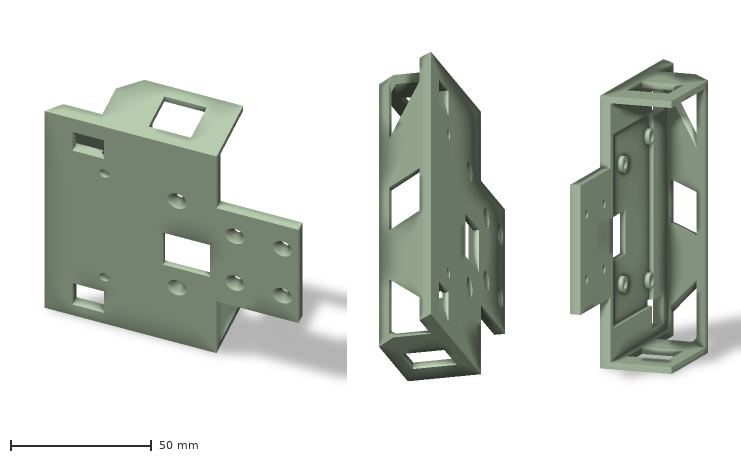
import cadquery as cq
import math

height = 99.0
total_length = 96.0
depth = 27.0
mid_z = height / 2

plate_thickness = 4.0
main_length = 65.0
plate_edge_x = 3.4
tab_height = 46.9

screw_diameter = 3.2
screw_head_diameter = 7.4
countersink_angle = 90
main_screw = (50.1, 21.8)
tab_screws = [(72.0, 11.8), (90.0, 11.8)]

pilot_diameter = 4.0
pilot_hole = (22.7, 26.1)

slot_left = 10.5
slot_right = 22.5
slot_inner_offset = 33.4
upper_slot_height = 9.3
lower_slot_height = 10.8
plate_window_left = 44.7
plate_window_length = 17.8
plate_window_bottom = 37.5

boss_diameter = 6.0
pocket_depth = 1.8
pocket_left = 20.8
pocket_height = 70.5

slope_top_x = 27.7
slope_wall = 2.1
end_wall = 2.5
window_size = 16.0
window_front = 5.6
end_window_left = 37.2
tunnel_tilt = 40
tunnel_end_x = 19.7

slope_angle = math.atan2(depth - plate_thickness, slope_top_x - plate_edge_x)
slope_wall_along_x = slope_wall / math.sin(slope_angle)
foot_step_x = slope_wall * math.sin(slope_angle)
foot_step_y = slope_wall * math.cos(slope_angle)
plate_window_right = plate_window_left + plate_window_length
window_back = window_front + window_size


def block(x_start, x_end, y_start, y_end, z_start, z_end):
    """Box given by its limits along the three axes."""
    size = (x_end - x_start, y_end - y_start, z_end - z_start)
    return cq.Workplane("XY").box(*size, centered=False).translate((x_start, y_start, z_start))


def prism(points, z_start, z_end):
    """Upright prism over an outline in X and Y."""
    return cq.Workplane("XY").workplane(offset=z_start).polyline(points).close().extrude(z_end - z_start)


def make_sloped_wall():
    """Sloped wall whose squared-off foot sinks into the plate."""
    outline = [
        (plate_edge_x, plate_thickness),
        (slope_top_x, depth),
        (slope_top_x + slope_wall_along_x, depth),
        (plate_edge_x + foot_step_x, plate_thickness - foot_step_y),
    ]
    return prism(outline, 0, height)


def make_front_face_plane():
    """Workplane on the front face with local X along X and local Y measured from mid height."""
    return cq.Workplane("XZ", origin=(0, 0, mid_z))


def mirrored_pairs(positions):
    """Points on the front face, one above and one below mid height for each position."""
    return [(x, side * offset) for x, offset in positions for side in (-1, 1)]


def make_plate():
    main_outline = [
        (0, 0),
        (main_length, 0),
        (main_length, plate_thickness),
        (plate_edge_x, plate_thickness),
    ]
    plate = prism(main_outline, 0, height)
    tab_bottom = mid_z - tab_height / 2
    tab = block(main_length, total_length, 0, plate_thickness, tab_bottom, tab_bottom + tab_height)
    plate = plate.union(tab)

    upper_slot_bottom = mid_z + slot_inner_offset
    lower_slot_top = mid_z - slot_inner_offset
    openings = [
        (slot_left, slot_right, upper_slot_bottom, upper_slot_bottom + upper_slot_height),
        (slot_left, slot_right, lower_slot_top - lower_slot_height, lower_slot_top),
        (
            plate_window_left,
            plate_window_right,
            plate_window_bottom,
            plate_window_bottom + window_size,
        ),
    ]
    for left, right, bottom, top in openings:
        plate = plate.cut(block(left, right, 0, plate_thickness, bottom, top))

    pocket_bottom = mid_z - pocket_height / 2
    pocket = block(
        pocket_left,
        plate_window_right,
        plate_thickness - pocket_depth,
        plate_thickness,
        pocket_bottom,
        pocket_bottom + pocket_height,
    )
    plate = plate.cut(pocket)

    boss_points = mirrored_pairs([pilot_hole, main_screw])
    bosses = make_front_face_plane().pushPoints(boss_points).circle(boss_diameter / 2)
    plate = plate.union(bosses.extrude(-plate_thickness))

    screw_points = mirrored_pairs([main_screw, *tab_screws])
    plate = plate.copyWorkplane(make_front_face_plane()).pushPoints(screw_points)
    plate = plate.cskHole(screw_diameter, screw_head_diameter, countersink_angle)
    plate = plate.copyWorkplane(make_front_face_plane()).pushPoints(mirrored_pairs([pilot_hole]))
    plate = plate.hole(pilot_diameter)

    return plate.cut(make_sloped_wall())


def make_tilted_tunnel():
    """Square tunnel through the sloped wall and the upper end wall, falling towards +X."""
    reach = height
    tunnel = block(-reach, reach, window_front, window_back, -window_size, 0)
    tunnel = tunnel.rotate((0, 0, 0), (0, 1, 0), tunnel_tilt)
    return tunnel.translate((tunnel_end_x, 0, height))


def make_housing():
    end_outline = [
        (plate_edge_x, plate_thickness),
        (main_length, plate_thickness),
        (main_length, depth),
        (slope_top_x, depth),
    ]
    housing = make_sloped_wall()
    for bottom in (0, height - end_wall):
        housing = housing.union(prism(end_outline, bottom, bottom + end_wall))

    end_window_right = end_window_left + window_size
    housing = housing.cut(block(end_window_left, end_window_right, window_front, window_back, 0, height))
    half_window = window_size / 2
    housing = housing.cut(
        block(0, main_length, window_front, window_back, mid_z - half_window, mid_z + half_window)
    )

    upper_tunnel = make_tilted_tunnel().intersect(block(0, main_length, 0, depth, mid_z, height))
    lower_tunnel = upper_tunnel.mirror("XY", (0, 0, mid_z))
    return housing.cut(upper_tunnel).cut(lower_tunnel)


plate = make_plate()
housing = make_housing()

result = cq.Compound.makeCompound([plate.solids().val(), housing.solids().val()])